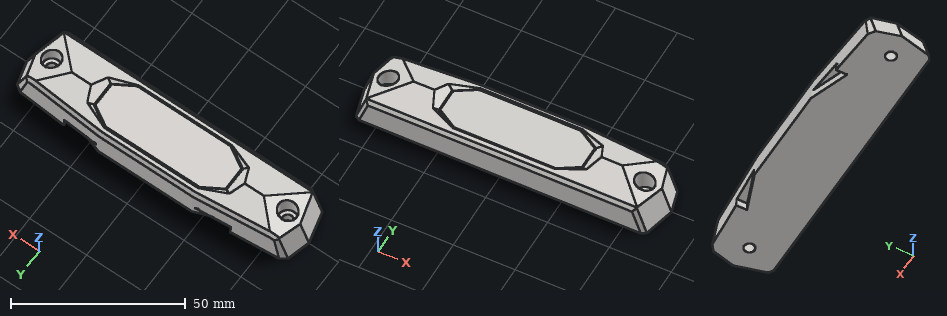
import cadquery as cq
import math

LENGTH = 99.3
WIDTH = 22.5
HEIGHT = 12.0
REAR_Y = WIDTH / 2
FRONT_Y = -WIDTH / 2
END_X = LENGTH / 2

REAR_FLAT_X = 16.5
CORNER_X = 45.6
REAR_CORNER_Y = 8.9
REAR_BEVEL = (47.7, 7.4)
FRONT_BEVEL = (47.1, -10.3)

END_LEAN = 0.35
REAR_LEAN = 0.087
ROOF_SLOPE = math.tan(math.radians(14.0))
RIDGE_Y = -0.1
RIDGE_HALF = 33.8
ROOF_CHAMFER = 1.1
ROOF_EDGE_X = 43.2
ROOF_EDGE_Z = 8.9
SELECT_MARGIN = 0.1

HOLE_X = 41.5
HOLE_Y = -1.0
BORE_DIAMETER = 3.4
COUNTERBORE_DIAMETER = 6.2
COUNTERBORE_FLOOR_Z = 4.0

PANEL_Y = -0.4
PANEL_TOP_Z = 9.8
PANEL_THICKNESS = 1.0
PANEL_BOTTOM_Z = PANEL_TOP_Z - PANEL_THICKNESS
PANEL_GAP = 0.25
SEAT_HALF_LENGTH = 23.2
SEAT_HALF_WIDTH = 8.1
SEAT_FLAT_X = 16.5
SEAT_FLAT_Y = 4.1
SEAT_FLARE = 60.0

RECESS_OUTER_X = 29.3
RECESS_HEIGHT = 2.9
RECESS_ANGLE = 20.0

TRIM_SIZE = 3 * LENGTH


def trim(body, point, normal):
    """Remove everything on the side of a plane that its normal points to."""
    face = cq.Workplane(cq.Plane(origin=point, normal=normal))
    waste = face.rect(TRIM_SIZE, TRIM_SIZE).extrude(TRIM_SIZE)
    return body.cut(waste)


def trim_wall(body, start, end, lean):
    """Trim along a footprint edge, walked clockwise from above, whose wall leans by `lean`."""
    run = cq.Vector(end[0] - start[0], end[1] - start[1], 0)
    outward = cq.Vector(*lean).cross(run)
    return trim(body, (start[0], start[1], 0), outward.toTuple())


def mirrored(point):
    """Mirror image of an XY point about X = 0."""
    return (-point[0], point[1])


def make_blank():
    """Footprint prism with leaning walls and a hipped roof."""
    rear_flat = (REAR_FLAT_X, REAR_Y)
    rear_corner = (CORNER_X, REAR_CORNER_Y)
    tip = (END_X, RIDGE_Y)
    front_corner = (CORNER_X, FRONT_Y)
    right_side = [rear_flat, rear_corner, REAR_BEVEL, tip, FRONT_BEVEL, front_corner]
    left_side = [mirrored(point) for point in reversed(right_side)]
    body = cq.Workplane("XY").polyline(right_side + left_side).close().extrude(HEIGHT)

    rear_lean = (0, -REAR_LEAN, 1)
    body = trim_wall(body, mirrored(rear_flat), rear_flat, rear_lean)
    body = trim_wall(body, rear_flat, rear_corner, rear_lean)
    body = trim_wall(body, mirrored(rear_corner), mirrored(rear_flat), rear_lean)
    end_points = right_side[1:]
    for start, end in zip(end_points, end_points[1:]):
        body = trim_wall(body, start, end, (-END_LEAN, 0, 1))
        body = trim_wall(body, mirrored(end), mirrored(start), (END_LEAN, 0, 1))

    for side in (-1, 1):
        body = trim(body, (0, RIDGE_Y, HEIGHT), (0, side * ROOF_SLOPE, 1))
        body = trim(body, (side * RIDGE_HALF, RIDGE_Y, HEIGHT), (side * ROOF_SLOPE, 0, 1))
    return body


def bevel_roof_edges(body):
    """Bevel the edges where the roof meets the front wall and the rear walls, not the corner bevels."""
    front_edge = cq.selectors.BoxSelector(
        (-ROOF_EDGE_X, FRONT_Y - SELECT_MARGIN, ROOF_EDGE_Z),
        (ROOF_EDGE_X, FRONT_Y + SELECT_MARGIN, HEIGHT),
    )
    rear_edges = cq.selectors.BoxSelector(
        (-ROOF_EDGE_X, REAR_BEVEL[1], ROOF_EDGE_Z),
        (ROOF_EDGE_X, REAR_Y, HEIGHT),
    )
    return body.edges(front_edge + rear_edges).chamfer(ROOF_CHAMFER)


def panel_outline(growth, z):
    """Octagon of the panel seat at height `z`, moved outward by `growth` on every side."""
    quarter = [(SEAT_HALF_LENGTH, SEAT_FLAT_Y), (SEAT_FLAT_X, SEAT_HALF_WIDTH)]
    half = quarter + [mirrored(point) for point in reversed(quarter)]
    points = half + [(-x, -y) for x, y in half]
    outline = cq.Workplane("XY", origin=(0, PANEL_Y, z)).polyline(points).close()
    return outline.offset2D(growth, "intersection") if growth else outline


def cut_panel_seat(body):
    """Straight-walled seat around the panel, opening into a flared mouth above it."""
    seat = panel_outline(0, PANEL_BOTTOM_Z).extrude(PANEL_THICKNESS)
    flare_height = HEIGHT - PANEL_TOP_Z
    flare_growth = flare_height * math.tan(math.radians(SEAT_FLARE))
    mouth_bottom = panel_outline(0, PANEL_TOP_Z).wires().val()
    mouth_top = panel_outline(flare_growth, HEIGHT).wires().val()
    mouth = cq.Solid.makeLoft([mouth_bottom, mouth_top], True)
    return body.cut(seat).cut(cq.Workplane(mouth))


def cut_mounting_holes(body):
    """A counterbored through hole near each end."""
    for x in (-HOLE_X, HOLE_X):
        bore_base = cq.Workplane("XY", origin=(x, HOLE_Y, 0))
        bore = bore_base.circle(BORE_DIAMETER / 2).extrude(HEIGHT)
        counterbore_base = cq.Workplane("XY", origin=(x, HOLE_Y, COUNTERBORE_FLOOR_Z))
        counterbore = counterbore_base.circle(COUNTERBORE_DIAMETER / 2).extrude(HEIGHT)
        body = body.cut(bore).cut(counterbore)
    return body


def cut_rear_recesses(body):
    """One wedge-shaped recess, open at the bottom, in each slanted rear wall."""
    depth = (RECESS_OUTER_X - REAR_FLAT_X) * math.tan(math.radians(RECESS_ANGLE))
    points = [(REAR_FLAT_X, REAR_Y), (RECESS_OUTER_X, REAR_Y - depth), (RECESS_OUTER_X, REAR_Y)]
    recess = cq.Workplane("XY").polyline(points).close().extrude(RECESS_HEIGHT)
    return body.cut(recess).cut(recess.mirror("YZ"))


def make_housing():
    """Main body with its panel seat, mounting holes and rear recesses."""
    body = bevel_roof_edges(make_blank())
    body = cut_panel_seat(body)
    body = cut_mounting_holes(body)
    return cut_rear_recesses(body)


def make_panel():
    """Flat octagonal panel that rests on the floor of the seat."""
    return panel_outline(-PANEL_GAP, PANEL_BOTTOM_Z).extrude(PANEL_THICKNESS)


housing = make_housing()
panel = make_panel()

result = cq.Compound.makeCompound([housing.val(), panel.val()])